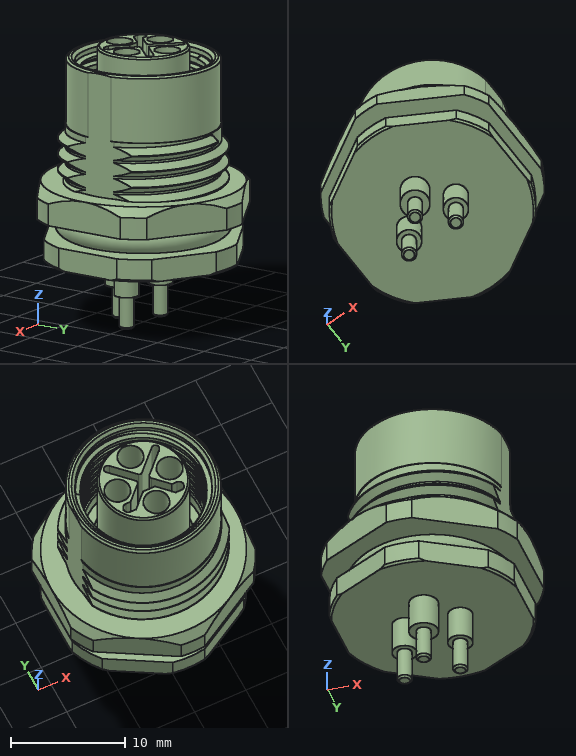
import cadquery as cq
import math

PIN_SHOULDER = 3.0
FLANGE_BOTTOM = 6.0
FLANGE_TOP = 8.05
NUT_BOTTOM = 10.08
NUT_TOP = 12.82
SLEEVE_BOTTOM = 18.0
SLEEVE_TOP = 24.0
INSERT_TOP = 25.0

NUT_ACROSS_FLATS = 18.0
NUT_CORNER_DIAMETER = 19.58
NUT_CHAMFER = (NUT_CORNER_DIAMETER - NUT_ACROSS_FLATS) / 2
NUT_BORE_DIAMETER = 13.8
FLANGE_ACROSS_FLATS = 16.95
FLANGE_CORNER_DIAMETER = 18.05
FLANGE_CHAMFER = 0.2

RING_OUTER_DIAMETER = 15.6
RING_THICKNESS = NUT_BOTTOM - FLANGE_TOP

BODY_DIAMETER = 13.7
SLEEVE_DIAMETER = 13.58
SLEEVE_RIM_DIAMETER = 13.1
SLEEVE_RIM_HEIGHT = 0.18
ACROSS_BODY_FLATS = 13.35

OUTER_THREAD_DIAMETER = 15.0
OUTER_THREAD_PITCH = 1.42
OUTER_THREAD_TURNS = 4
OUTER_THREAD_END_HEIGHT = 17.25
OUTER_THREAD_END_ANGLE = 96.0

SOCKET_FLOOR = 15.0
SOCKET_DIAMETER = 10.7
SOCKET_THREAD_BOTTOM = 16.5
INNER_THREAD_BORE = 11.1
INNER_THREAD_DIAMETER = 11.9
INNER_THREAD_PITCH = 1.0
MOUTH_DIAMETER = 12.6
MOUTH_INNER_DIAMETER = 12.0
MOUTH_DEPTH = 0.3
RELIEF_DEPTH = 0.45
LEAD_IN_DEPTH = 0.2

INSERT_DIAMETER = 8.1
INSERT_CHAMFER = 0.18
COLLAR_RADIUS = 0.4

CONTACT_OFFSET = 2.55
CONTACT_BORE = 2.3
CONTACT_BORE_DEPTH = 4.0
CONTACT_SEAT = 1.7
CONTACT_HOLE = 1.3
CONTACT_LEAD_IN_DEPTH = 0.4
CONTACT_HOLE_DEPTH = 2.0
PIN_DIAMETER = 1.3
PIN_TIP_CHAMFER = 0.18
SIDE_SHOULDER_DIAMETER = 2.2
FRONT_SHOULDER_DIAMETER = 2.6

SLOT_DEPTH = 6.0
SLOT_WIDTH = 0.7
SLOT_ARM_END = 2.32
SLOT_HUB_BOTTOM = -1.08
SLOT_TOE_WIDTH = 0.9
SLOT_TOE_END_X = 2.48
SLOT_TOE_Y = -1.98
SLOT_CORNER_RADIUS = 0.25

OVERLAP = 0.08


def cylinder(diameter, bottom, top, x=0.0, y=0.0):
    return cq.Workplane("XY", origin=(x, y, bottom)).circle(diameter / 2).extrude(top - bottom)


def cone(bottom_diameter, top_diameter, bottom, top, x=0.0, y=0.0):
    return cq.Workplane(
        cq.Solid.makeCone(
            bottom_diameter / 2,
            top_diameter / 2,
            top - bottom,
            pnt=cq.Vector(x, y, bottom),
        )
    )


def trimmed_hexagon(across_flats, corner_diameter, bottom, top, chamfered_face, chamfer):
    hexagon = (
        cq.Workplane("XY", origin=(0, 0, bottom))
        .polygon(6, across_flats / math.cos(math.pi / 6))
        .extrude(top - bottom)
        .rotate((0, 0, 0), (0, 0, 1), 30)
    )
    envelope = cylinder(corner_diameter, bottom, top).faces(chamfered_face).chamfer(chamfer)
    return hexagon.intersect(envelope)


def helical_ridge(base_radius, crest_radius, base_width, crest_width, pitch, turns, bottom, angle):
    """Right-hand thread ridge whose centre line starts at the given height and angle."""
    helix = cq.Wire.makeHelix(pitch, pitch * turns, base_radius)
    ridge = (
        cq.Workplane("XZ")
        .polyline(
            [
                (base_radius, -base_width / 2),
                (crest_radius, -crest_width / 2),
                (crest_radius, crest_width / 2),
                (base_radius, base_width / 2),
            ]
        )
        .close()
        .sweep(cq.Workplane(obj=helix), isFrenet=True)
    )
    return ridge.rotate((0, 0, 0), (0, 0, 1), angle).translate((0, 0, bottom))


def make_nut():
    nut = trimmed_hexagon(
        NUT_ACROSS_FLATS, NUT_CORNER_DIAMETER, NUT_BOTTOM, NUT_TOP, ">Z", NUT_CHAMFER
    )
    return nut.cut(cylinder(NUT_BORE_DIAMETER, NUT_BOTTOM, NUT_TOP))


def make_flange():
    return trimmed_hexagon(
        FLANGE_ACROSS_FLATS, FLANGE_CORNER_DIAMETER, FLANGE_BOTTOM, FLANGE_TOP, "<Z", FLANGE_CHAMFER
    )


def make_ring():
    """Round-edged disc: the sealing ring merged with the body it sits on."""
    centre_radius = (RING_OUTER_DIAMETER - RING_THICKNESS) / 2
    centre_height = (FLANGE_TOP + NUT_BOTTOM) / 2
    return (
        cq.Workplane("XZ")
        .moveTo(0, FLANGE_TOP)
        .lineTo(centre_radius, FLANGE_TOP)
        .threePointArc((RING_OUTER_DIAMETER / 2, centre_height), (centre_radius, NUT_BOTTOM))
        .lineTo(0, NUT_BOTTOM)
        .close()
        .revolve(360, (0, 0), (0, 1))
    )


def make_body():
    """Threaded body and plain sleeve, both cut by the two side flats."""
    sleeve_rim_bottom = SLEEVE_TOP - SLEEVE_RIM_HEIGHT
    thread = helical_ridge(
        BODY_DIAMETER / 2 - OVERLAP,
        OUTER_THREAD_DIAMETER / 2,
        OUTER_THREAD_PITCH - OVERLAP,
        OVERLAP,
        OUTER_THREAD_PITCH,
        OUTER_THREAD_TURNS,
        OUTER_THREAD_END_HEIGHT - OUTER_THREAD_PITCH * OUTER_THREAD_TURNS,
        OUTER_THREAD_END_ANGLE,
    )
    body = (
        cylinder(NUT_BORE_DIAMETER, NUT_BOTTOM, NUT_TOP)
        .union(cylinder(BODY_DIAMETER, NUT_TOP, SLEEVE_BOTTOM))
        .union(cylinder(SLEEVE_DIAMETER, SLEEVE_BOTTOM, sleeve_rim_bottom))
        .union(cone(SLEEVE_DIAMETER, SLEEVE_RIM_DIAMETER, sleeve_rim_bottom, SLEEVE_TOP))
        .union(thread)
    )
    between_flats = cq.Workplane("XY", origin=(0, 0, NUT_BOTTOM)).box(
        ACROSS_BODY_FLATS, 2 * BODY_DIAMETER, SLEEVE_TOP - NUT_BOTTOM, centered=(True, True, False)
    )
    return body.intersect(between_flats)


def make_socket():
    """Hollow around the insert, with a tapered mouth and an inner thread."""
    mouth_bottom = SLEEVE_TOP - MOUTH_DEPTH
    relief_bottom = mouth_bottom - RELIEF_DEPTH
    lead_in_bottom = relief_bottom - LEAD_IN_DEPTH
    groove_depth = (INNER_THREAD_DIAMETER - INNER_THREAD_BORE) / 2
    groove_width = 2 * (groove_depth + OVERLAP) * math.tan(math.radians(30)) + OVERLAP
    groove_bottom = SOCKET_THREAD_BOTTOM + groove_width / 2
    groove = helical_ridge(
        INNER_THREAD_BORE / 2 - OVERLAP,
        INNER_THREAD_DIAMETER / 2,
        groove_width,
        OVERLAP,
        INNER_THREAD_PITCH,
        (relief_bottom - groove_bottom) / INNER_THREAD_PITCH,
        groove_bottom,
        0,
    )
    return (
        cylinder(SOCKET_DIAMETER, SOCKET_FLOOR, SOCKET_THREAD_BOTTOM)
        .union(cylinder(INNER_THREAD_BORE, SOCKET_THREAD_BOTTOM, SLEEVE_TOP))
        .union(groove)
        .union(cone(INNER_THREAD_BORE, MOUTH_INNER_DIAMETER, lead_in_bottom, relief_bottom))
        .union(cylinder(MOUTH_INNER_DIAMETER, relief_bottom, mouth_bottom))
        .union(cone(MOUTH_INNER_DIAMETER, MOUTH_DIAMETER, mouth_bottom, SLEEVE_TOP))
    )


def make_slot():
    """Cross slot: two straight upper arms and two lower arms with sideways toes."""
    half_width = SLOT_WIDTH / 2
    edge_offset = half_width * math.sqrt(2)
    end_offset = half_width / math.sqrt(2)
    toe_top = SLOT_TOE_Y + SLOT_TOE_WIDTH / 2
    toe_bottom = SLOT_TOE_Y - SLOT_TOE_WIDTH / 2
    inner = SLOT_ARM_END - end_offset
    outer = SLOT_ARM_END + end_offset
    half_slot = (
        cq.Workplane("XY", origin=(0, 0, INSERT_TOP - SLOT_DEPTH))
        .moveTo(0, edge_offset)
        .lineTo(inner, outer)
        .threePointArc((outer, outer), (outer, inner))
        .lineTo(edge_offset, 0)
        .lineTo(edge_offset - toe_top, toe_top)
        .lineTo(SLOT_TOE_END_X, toe_top)
        .threePointArc(
            (SLOT_TOE_END_X + SLOT_TOE_WIDTH / 2, SLOT_TOE_Y), (SLOT_TOE_END_X, toe_bottom)
        )
        .lineTo(-toe_bottom - edge_offset, toe_bottom)
        .lineTo(-SLOT_HUB_BOTTOM - edge_offset, SLOT_HUB_BOTTOM)
        .lineTo(0, SLOT_HUB_BOTTOM)
        .close()
        .extrude(SLOT_DEPTH)
    )
    slot = half_slot.union(half_slot.mirror("YZ"))
    corners = cq.selectors.BoxSelector(
        (-2 * edge_offset, -half_width, 0), (2 * edge_offset, 2 * edge_offset, INSERT_TOP)
    )
    return slot.edges("|Z").edges(corners).fillet(SLOT_CORNER_RADIUS)


def make_contact_bore(x, y, has_contact):
    """Contact bore with a tapered seat, and the contact's own hole where one is fitted."""
    seat_top = INSERT_TOP - CONTACT_BORE_DEPTH
    seat_bottom = seat_top - (CONTACT_BORE - CONTACT_SEAT) / 2
    bore = cylinder(CONTACT_BORE, seat_top, INSERT_TOP, x, y).union(
        cone(CONTACT_SEAT, CONTACT_BORE, seat_bottom, seat_top, x, y)
    )
    if not has_contact:
        return bore
    hole_top = seat_bottom - CONTACT_LEAD_IN_DEPTH
    lead_in = cone(CONTACT_HOLE, CONTACT_SEAT, hole_top, seat_bottom, x, y)
    return bore.union(lead_in).union(
        cylinder(CONTACT_HOLE, hole_top - CONTACT_HOLE_DEPTH, hole_top, x, y)
    )


def make_insert():
    """Round contact insert with a rounded collar at its foot."""
    insert = cylinder(INSERT_DIAMETER, SOCKET_FLOOR, INSERT_TOP).faces(">Z").chamfer(INSERT_CHAMFER)
    collar = (
        cq.Workplane("XZ")
        .moveTo(INSERT_DIAMETER / 2, SOCKET_FLOOR)
        .lineTo(INSERT_DIAMETER / 2 + COLLAR_RADIUS, SOCKET_FLOOR)
        .radiusArc((INSERT_DIAMETER / 2, SOCKET_FLOOR + COLLAR_RADIUS), -COLLAR_RADIUS)
        .close()
        .revolve(360, (0, 0), (0, 1))
    )
    return insert.union(collar)


def make_pin(x, y, shoulder_diameter):
    pin = cylinder(PIN_DIAMETER, 0, FLANGE_BOTTOM, x, y).faces("<Z").chamfer(PIN_TIP_CHAMFER)
    return pin.union(cylinder(shoulder_diameter, PIN_SHOULDER, FLANGE_BOTTOM, x, y))


FITTED_CONTACTS = [
    (-CONTACT_OFFSET, 0, SIDE_SHOULDER_DIAMETER),
    (CONTACT_OFFSET, 0, SIDE_SHOULDER_DIAMETER),
    (0, -CONTACT_OFFSET, FRONT_SHOULDER_DIAMETER),
]

result = make_body().cut(make_socket()).union(make_insert()).cut(make_slot())
for x, y, shoulder_diameter in FITTED_CONTACTS:
    result = result.cut(make_contact_bore(x, y, True))
result = result.cut(make_contact_bore(0, CONTACT_OFFSET, False))

result = result.union(make_ring()).union(make_flange()).union(make_nut())
for x, y, shoulder_diameter in FITTED_CONTACTS:
    result = result.union(make_pin(x, y, shoulder_diameter))